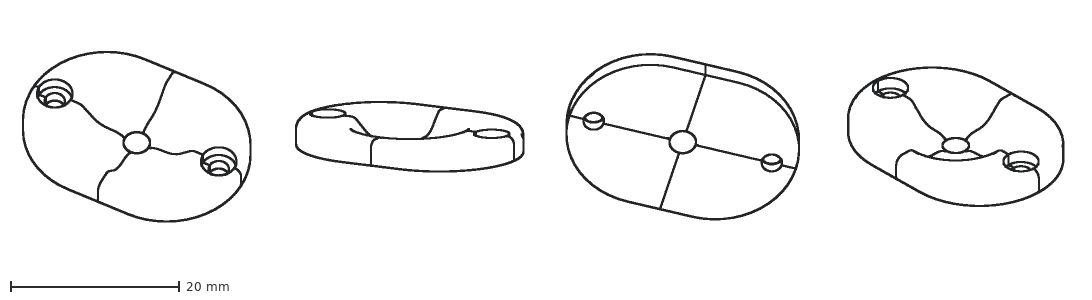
import cadquery as cq
import math

length = 28.0
width = 20.0
thickness = 3.0
edge_radius = 1.0

screw_offset = 11.0
screw_hole_diameter = 2.4
counterbore_diameter = 4.2
counterbore_depth = thickness / 2

rim_radius = 7.9
rim_round = edge_radius
wall_angle = math.radians(45)
floor_round = thickness
floor_depth = 2.5
lip_outer_radius = 3.3
lip_round = floor_round
lip_inner_radius = 1.95
hole_radius = 1.57
cut_clearance = 0.28


def arc_point(center, radius, angle):
    """Point (r, z) on a profile arc, at an angle from the +r direction."""
    return center[0] + radius * math.cos(angle), center[1] + radius * math.sin(angle)


def make_blank():
    blank = cq.Workplane("XY").slot2D(length, width).extrude(thickness)
    return blank.faces(">Z").edges().fillet(edge_radius)


def make_bowl_cutter():
    """Revolved solid that removes the bowl and its centre hole."""
    up = math.radians(90)
    down = -up
    floor_z = thickness - floor_depth

    rim_center = (rim_radius, thickness - rim_round)
    rim_middle = arc_point(rim_center, rim_round, up + wall_angle / 2)
    cone_top = arc_point(rim_center, rim_round, up + wall_angle)

    cone_bottom_z = floor_z + floor_round * (1 - math.cos(wall_angle))
    cone_bottom_radius = cone_top[0] - (cone_top[1] - cone_bottom_z) / math.tan(wall_angle)
    floor_center = (cone_bottom_radius - floor_round * math.sin(wall_angle), floor_z + floor_round)
    floor_middle = arc_point(floor_center, floor_round, down + wall_angle / 2)

    lip_center = (lip_outer_radius, floor_z - lip_round)
    lip_angle = math.asin((lip_outer_radius - lip_inner_radius) / lip_round)
    lip_middle = arc_point(lip_center, lip_round, up + lip_angle / 2)
    lip_end = arc_point(lip_center, lip_round, up + lip_angle)

    profile = (
        cq.Workplane("XZ")
        .moveTo(0, thickness + cut_clearance)
        .lineTo(rim_radius, thickness + cut_clearance)
        .lineTo(rim_radius, thickness)
        .threePointArc(rim_middle, cone_top)
        .lineTo(cone_bottom_radius, cone_bottom_z)
        .threePointArc(floor_middle, (floor_center[0], floor_z))
        .lineTo(lip_outer_radius, floor_z)
        .threePointArc(lip_middle, lip_end)
        .lineTo(hole_radius, 0)
        .lineTo(hole_radius, -cut_clearance)
        .lineTo(0, -cut_clearance)
        .close()
    )
    return profile.revolve(360, (0, 0, 0), (0, 1, 0))


def make_plate():
    plate = make_blank().cut(make_bowl_cutter())
    return (
        plate
        .copyWorkplane(cq.Workplane("XY", origin=(0, 0, thickness)))
        .pushPoints([(-screw_offset, 0), (screw_offset, 0)])
        .cboreHole(screw_hole_diameter, counterbore_diameter, counterbore_depth)
    )


def make_quarter(plate, x_side, y_side):
    """The part of the plate on one side of each of the planes X = 0 and Y = 0."""
    quadrant = cq.Workplane("XY").box(length, width, thickness, centered=(True, True, False))
    quadrant = quadrant.translate((x_side * length / 2, y_side * width / 2, 0))
    return plate.intersect(quadrant).solids().val()


whole_plate = make_plate()
quarters = []
for x_side in (-1, 1):
    for y_side in (-1, 1):
        quarters.append(make_quarter(whole_plate, x_side, y_side))

result = cq.Compound.makeCompound(quarters)